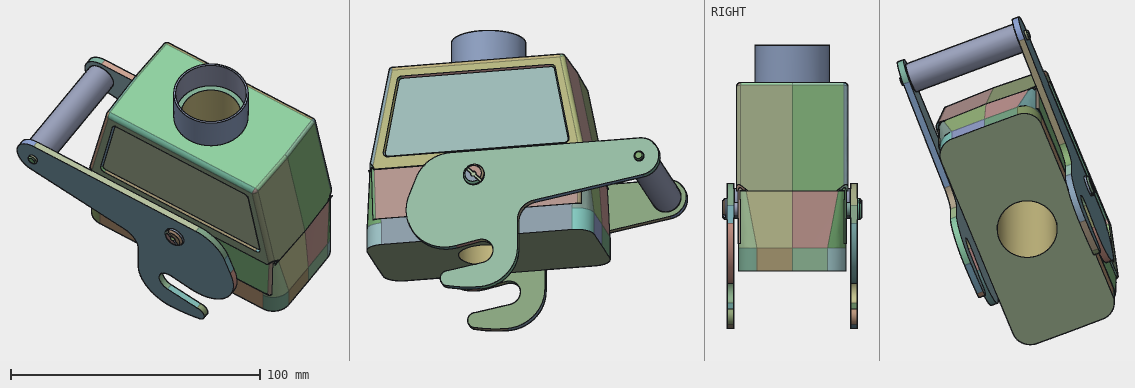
import cadquery as cq
import math


SKIRT_HEIGHT = 9.2
PANEL_BOTTOM = 11.0
WAIST_HEIGHT = 32.2
PANEL_TOP = 35.1
HOOD_HEIGHT = 75.7
COLLAR_HEIGHT = 15.0

SKIRT_TIP_X = 46.8
WAIST_TIP_X = 45.2
ROOF_TIP_X = 36.6
SKIRT_POINT = 0.1
BLOCK_POINT = 0.6

FOOT_HALF_Y = 21.6
PANEL_HALF_Y = 21.7
BLOCK_HALF_Y = 22.5
SKIRT_CORNER = 7.5
WAIST_CORNER = 3.2
PANEL_FOOT_X = 43.0
PANEL_HEAD_X = 43.7
PANEL_EDGE_RADIUS = 1.5
EDGE_RADIUS = 1.8
ROOF_END_RADIUS = 1.3

RELIEF_X = 2.7
RELIEF_Y = 4.7
RELIEF_Z = 4.9

COLLAR_DIAMETER = 30.0
COUNTERBORE_DIAMETER = 28.3
COUNTERBORE_DEPTH = 13.5
BORE_DIAMETER = 24.0

WINDOW_BOTTOM = 37.0
WINDOW_TOP = 71.0
WINDOW_FOOT_X = 38.7
WINDOW_HEAD_X = 32.3
WINDOW_CORNER = 2.0
WINDOW_DEPTH = 1.0
WINDOW_DRAFT = 33.0

OVERALL_WIDTH = 55.8
PLATE_INNER_Y = 23.5
PLATE_THICKNESS = 2.7
PLATE_OUTER_Y = PLATE_INNER_Y + PLATE_THICKNESS

GRIP_X, GRIP_Z = -68.0, 27.2
GRIP_DIAMETER = 12.0
GRIP_END_CHAMFER = 0.2
GRIP_PIN_DIAMETER = 3.9
GRIP_PIN_REACH = 1.5
GRIP_PIN_CHAMFER = 0.5

PIVOT_Z = 24.9
PIVOT_DIAMETER = 5.4
PIVOT_HEAD_DIAMETER = 8.5
PIVOT_HEAD_REACH = OVERALL_WIDTH / 2 - PLATE_OUTER_Y
PIVOT_HEAD_CHAMFER = 0.9
PIVOT_DIMPLE_DIAMETER = 2.2
PIVOT_SLOT_WIDTH = 1.1
PIVOT_SLOT_DEPTH = 1.2
PIVOT_SLOT_ANGLE = 45.0

ARM_END_RADIUS = 8.0
ARM_TAPER = math.radians(9.2)
ARM_CORNER_RADIUS = 8.0
SHOULDER_X = 10.0
SHOULDER_RADIUS = 15.0
SHOULDER_TURN = math.radians(24.3)
LOBE_X, LOBE_Z = 10.8, 12.1
LOBE_RADIUS = 17.2
MOUTH_X, MOUTH_Z = -2.7, -7.9
MOUTH_RADIUS = 5.0
HOOK_BACK_X = -17.8
HOOK_BACK_RADIUS = 15.5
HOOK_BOTTOM_Z = -23.1
TIP_TOP = (10.5, -15.1)
TIP_END = (14.0, -18.2)
TIP_BOTTOM = (11.3, -21.5)


def pointed_outline(tip_x, point, half_y, corner_radius):
    """Rectangle with slightly pointed short sides; a zero radius leaves its corners sharp."""
    corner_x = tip_x - point
    corners = [
        (tip_x, 0), (corner_x, half_y), (-corner_x, half_y),
        (-tip_x, 0), (-corner_x, -half_y), (corner_x, -half_y),
    ]
    outline = cq.Sketch().polygon(corners + corners[:1])
    if corner_radius:
        outline = outline.vertices(">Y or <Y").fillet(corner_radius)
    return outline


def loft_between(lower, upper, lower_z, upper_z):
    """Straight-walled solid from one outline up to another."""
    lower_section = lower.moved(cq.Location((0, 0, lower_z)))
    upper_section = upper.moved(cq.Location((0, 0, upper_z)))
    return cq.Workplane().placeSketch(lower_section, upper_section).loft(ruled=True)


def make_skirt():
    outline = pointed_outline(SKIRT_TIP_X, SKIRT_POINT, FOOT_HALF_Y, SKIRT_CORNER)
    return cq.Workplane().placeSketch(outline).extrude(SKIRT_HEIGHT)


def make_waist():
    lower = pointed_outline(SKIRT_TIP_X, SKIRT_POINT, FOOT_HALF_Y, SKIRT_CORNER)
    upper = pointed_outline(WAIST_TIP_X, BLOCK_POINT, FOOT_HALF_Y, WAIST_CORNER)
    return loft_between(lower, upper, SKIRT_HEIGHT, WAIST_HEIGHT)


def make_side_panels():
    """Slab through the waist whose two faces stand slightly proud on the long sides."""
    profile = [
        (-PANEL_FOOT_X, PANEL_BOTTOM), (PANEL_FOOT_X, PANEL_BOTTOM),
        (PANEL_HEAD_X, PANEL_TOP), (-PANEL_HEAD_X, PANEL_TOP),
    ]
    slab = cq.Workplane("XZ").polyline(profile).close().extrude(PANEL_HALF_Y, both=True)
    return slab.edges("(<Y or >Y) and (not |X)").fillet(PANEL_EDGE_RADIUS)


def make_upper_block():
    """Tapered block, rounded along its roof and its four upright corners."""
    lower = pointed_outline(WAIST_TIP_X, BLOCK_POINT, BLOCK_HALF_Y, 0)
    upper = pointed_outline(ROOF_TIP_X, BLOCK_POINT, BLOCK_HALF_Y, 0)
    block = loft_between(lower, upper, WAIST_HEIGHT, HOOD_HEIGHT)
    block = block.edges("(<Y or >Y) and (not <Z)").fillet(EDGE_RADIUS)
    return block.edges(">Z").edges("not |X").fillet(ROOF_END_RADIUS)


def make_corner_relief():
    """Four-sided cutter that bevels the block's lower corner at +X, -Y."""
    corner = (WAIST_TIP_X - BLOCK_POINT, -BLOCK_HALF_Y, WAIST_HEIGHT)
    points = [
        corner,
        (corner[0] - RELIEF_X, corner[1], corner[2]),
        (corner[0], corner[1] + RELIEF_Y, corner[2]),
        (corner[0], corner[1], corner[2] + RELIEF_Z),
    ]
    faces = []
    for left_out in range(len(points)):
        triangle = [cq.Vector(*point) for place, point in enumerate(points) if place != left_out]
        faces.append(cq.Face.makeFromWires(cq.Wire.makePolygon(triangle, close=True)))
    return cq.Workplane(cq.Solid.makeSolid(cq.Shell.makeShell(faces)))


def make_window():
    """Cutter for one recess, narrowing from the front face inward."""
    profile = [
        (-WINDOW_FOOT_X, WINDOW_BOTTOM), (WINDOW_FOOT_X, WINDOW_BOTTOM),
        (WINDOW_HEAD_X, WINDOW_TOP), (-WINDOW_HEAD_X, WINDOW_TOP),
    ]
    outline = cq.Sketch().polygon(profile + profile[:1]).vertices().fillet(WINDOW_CORNER)
    face_plane = cq.Workplane("XZ", origin=(0, -BLOCK_HALF_Y, 0))
    return face_plane.placeSketch(outline).extrude(-WINDOW_DEPTH, taper=WINDOW_DRAFT)


def make_hood():
    block = make_upper_block()
    relief = make_corner_relief()
    for cutter in (relief, relief.mirror("YZ")):
        block = block.cut(cutter).cut(cutter.mirror("XZ"))
    hood = make_skirt().union(make_waist()).union(make_side_panels()).union(block)
    collar = cq.Workplane(origin=(0, 0, HOOD_HEIGHT)).circle(COLLAR_DIAMETER / 2).extrude(COLLAR_HEIGHT)
    hood = hood.union(collar)
    hood = hood.faces(">Z").workplane(origin=(0, 0, 0)).cboreHole(
        BORE_DIAMETER, COUNTERBORE_DIAMETER, COUNTERBORE_DEPTH
    )
    window = make_window()
    return hood.cut(window).cut(window.mirror("XZ"))


def on_circle(center_x, center_z, radius, angle):
    """Point of a circle at an angle counted from X towards Z."""
    return (center_x + radius * math.cos(angle), center_z + radius * math.sin(angle))


def plate_outline():
    """Closed outline of one lever plate in X and Z."""
    arm_top_z = GRIP_Z + ARM_END_RADIUS

    lobe_distance = math.hypot(LOBE_X - MOUTH_X, LOBE_Z - MOUTH_Z)
    lobe_direction = math.atan2(LOBE_Z - MOUTH_Z, LOBE_X - MOUTH_X)
    tangent_normal = lobe_direction + math.acos((LOBE_RADIUS + MOUTH_RADIUS) / lobe_distance)
    mouth_top = on_circle(MOUTH_X, MOUTH_Z, MOUTH_RADIUS, tangent_normal)
    lobe_end = on_circle(LOBE_X, LOBE_Z, LOBE_RADIUS, tangent_normal + math.pi)
    mouth_bottom = on_circle(MOUTH_X, MOUTH_Z, MOUTH_RADIUS, tangent_normal + math.pi)

    shoulder_z = arm_top_z - SHOULDER_RADIUS
    shoulder_end = on_circle(SHOULDER_X, shoulder_z, SHOULDER_RADIUS, SHOULDER_TURN)
    shoulder_middle = on_circle(
        SHOULDER_X, shoulder_z, SHOULDER_RADIUS, (SHOULDER_TURN + math.pi / 2) / 2
    )
    lobe_start = on_circle(LOBE_X, LOBE_Z, LOBE_RADIUS, SHOULDER_TURN)
    lobe_middle = on_circle(LOBE_X, LOBE_Z, LOBE_RADIUS, -math.pi / 4)

    arm_bottom = on_circle(GRIP_X, GRIP_Z, ARM_END_RADIUS, -math.pi / 2 - ARM_TAPER)
    corner_z = arm_bottom[1] - (HOOK_BACK_X - arm_bottom[0]) * math.tan(ARM_TAPER)
    setback = ARM_CORNER_RADIUS * math.tan((math.pi / 2 - ARM_TAPER) / 2)
    corner_start = (HOOK_BACK_X, corner_z - setback)
    corner_end = (HOOK_BACK_X - setback * math.cos(ARM_TAPER), corner_z + setback * math.sin(ARM_TAPER))

    back_start = (HOOK_BACK_X, HOOK_BOTTOM_Z + HOOK_BACK_RADIUS)
    back_end = (HOOK_BACK_X + HOOK_BACK_RADIUS, HOOK_BOTTOM_Z)

    belly_run = TIP_BOTTOM[0] - back_end[0]
    belly_rise = TIP_BOTTOM[1] - HOOK_BOTTOM_Z
    belly_radius = (belly_run**2 + belly_rise**2) / (2 * belly_rise)

    return (
        cq.Workplane("XZ")
        .moveTo(GRIP_X, arm_top_z)
        .lineTo(SHOULDER_X, arm_top_z)
        .threePointArc(shoulder_middle, shoulder_end)
        .lineTo(*lobe_start)
        .threePointArc(lobe_middle, lobe_end)
        .lineTo(*mouth_top)
        .threePointArc((MOUTH_X - MOUTH_RADIUS, MOUTH_Z), mouth_bottom)
        .lineTo(*TIP_TOP)
        .threePointArc(TIP_END, TIP_BOTTOM)
        .radiusArc(back_end, belly_radius)
        .radiusArc(back_start, HOOK_BACK_RADIUS)
        .lineTo(*corner_start)
        .radiusArc(corner_end, -ARM_CORNER_RADIUS)
        .lineTo(*arm_bottom)
        .threePointArc((GRIP_X - ARM_END_RADIUS, GRIP_Z), (GRIP_X, arm_top_z))
        .close()
    )


def rod(x, z, diameter, y_start, length):
    """Round rod along -Y, starting at y_start."""
    return cq.Workplane("XZ", origin=(x, y_start, z)).circle(diameter / 2).extrude(length)


def make_plate():
    """Plate on the -Y side."""
    return plate_outline().extrude(PLATE_THICKNESS).translate((0, -PLATE_INNER_Y, 0))


def make_pivot():
    """Pivot on the -Y side: shaft against the hood and a slotted, chamfered head."""
    shaft = rod(0, PIVOT_Z, PIVOT_DIAMETER, -PANEL_HALF_Y, PLATE_OUTER_Y - PANEL_HALF_Y)
    head = rod(0, PIVOT_Z, PIVOT_HEAD_DIAMETER, -PLATE_OUTER_Y, PIVOT_HEAD_REACH)
    head = head.faces("<Y").edges().chamfer(PIVOT_HEAD_CHAMFER)
    slot_floor = cq.Workplane("XZ", origin=(0, PIVOT_SLOT_DEPTH - OVERALL_WIDTH / 2, PIVOT_Z))
    slot_length = 2 * PIVOT_HEAD_DIAMETER
    slot = slot_floor.rect(slot_length, PIVOT_SLOT_WIDTH).extrude(PIVOT_SLOT_DEPTH)
    slot = slot.rotate((0, 0, PIVOT_Z), (0, 1, PIVOT_Z), PIVOT_SLOT_ANGLE)
    dimple = slot_floor.circle(PIVOT_DIMPLE_DIAMETER / 2).extrude(PIVOT_SLOT_DEPTH)
    return shaft.union(head.cut(slot).cut(dimple))


def make_grip():
    grip = rod(GRIP_X, GRIP_Z, GRIP_DIAMETER, PLATE_INNER_Y, 2 * PLATE_INNER_Y)
    grip = grip.faces("<Y or >Y").edges().chamfer(GRIP_END_CHAMFER)
    pin_reach = PLATE_OUTER_Y + GRIP_PIN_REACH
    pin = rod(GRIP_X, GRIP_Z, GRIP_PIN_DIAMETER, pin_reach, 2 * pin_reach)
    pin = pin.faces("<Y or >Y").edges().chamfer(GRIP_PIN_CHAMFER)
    return grip.union(pin)


def make_lever():
    """Plates, grip and pivots in one piece; the far pivot is the near one turned half round."""
    plate = make_plate()
    pivot = make_pivot()
    lever = make_grip().union(plate).union(plate.mirror("XZ"))
    return lever.union(pivot).union(pivot.rotate((0, 0, 0), (0, 0, 1), 180))


hood = make_hood()
lever = make_lever()
result = cq.Compound.makeCompound([hood.val(), lever.val()])